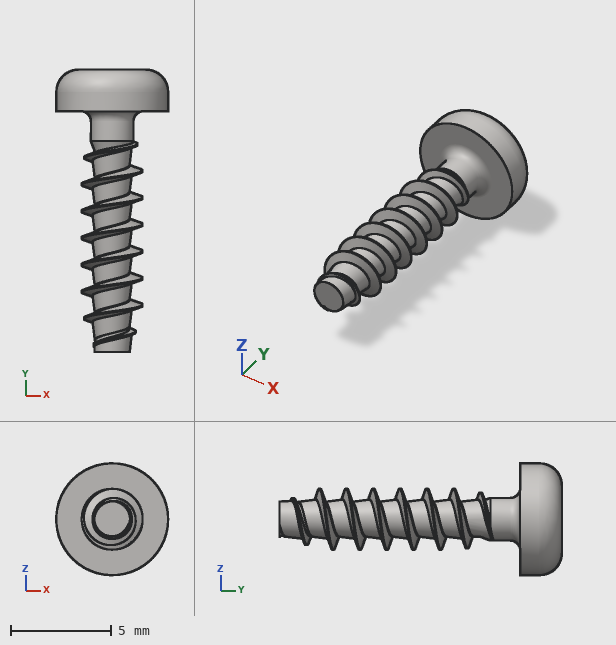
import cadquery as cq
import math

total_length = 14.1
head_diameter = 5.6
head_height = 2.09
dome_radius = 1.13
tip_depth = total_length - head_height

shank_radius = 1.07
shank_depth = 1.5
neck_fillet = 0.5
taper_length = 0.59
core_radius = 0.85

pitch = 1.34
first_crest_depth = 1.64
crest_radius = 1.52
crest_half_width = 0.03
flank_slope = 0.32
tail_radius = 0.99
tail_end_radius = 0.87
least_tooth_height = 0.14
least_tail_drop = 0.01
buried_radius = 0.79
turn_gap = 0.01

start_turn = -0.25
end_turn = 7.75
start_crest = 1.03
early_crest = 1.27
fade_turn = 6.25
fade_per_turn = 0.47
piece_turn = 0.5
steps_per_piece = 12


def make_body():
    """Head, neck fillet, shank and core as one revolved solid."""
    head_radius = head_diameter / 2
    diagonal = math.sqrt(0.5)
    dome_mid = (
        head_radius - dome_radius * (1 - diagonal),
        head_height - dome_radius * (1 - diagonal),
    )
    neck_mid = (
        shank_radius + neck_fillet * (1 - diagonal),
        -neck_fillet * (1 - diagonal),
    )
    return (
        cq.Workplane("XY")
        .moveTo(0, head_height)
        .lineTo(head_radius - dome_radius, head_height)
        .threePointArc(dome_mid, (head_radius, head_height - dome_radius))
        .lineTo(head_radius, 0)
        .lineTo(shank_radius + neck_fillet, 0)
        .threePointArc(neck_mid, (shank_radius, -neck_fillet))
        .lineTo(shank_radius, -shank_depth)
        .lineTo(core_radius, -shank_depth - taper_length)
        .lineTo(core_radius, -tip_depth)
        .lineTo(0, -tip_depth)
        .close()
        .revolve(360, (0, 0, 0), (0, 1, 0))
    )


def crest_at(turn):
    """Crest radius: steep start, slow growth over one turn, constant, then fading out."""
    if turn < 0:
        return early_crest + (early_crest - start_crest) * turn / -start_turn
    growing = early_crest + (crest_radius - early_crest) * turn
    fading = crest_radius - fade_per_turn * (turn - fade_turn)
    return min(growing, crest_radius, fading)


def thread_section(turn):
    """Closed outline of (radius, axial offset towards the tip) for the tooth and its tail."""
    crest = crest_at(turn)
    tail = max(min(tail_radius, crest - least_tooth_height), tail_end_radius + least_tail_drop)
    lead = crest_half_width + flank_slope * (crest - buried_radius)
    trail = crest_half_width + flank_slope * (crest - tail)
    full_lead = crest_half_width + flank_slope * (crest_radius - buried_radius)
    tail_end = pitch - full_lead - turn_gap
    return [
        (buried_radius, -lead),
        (crest, -crest_half_width),
        (crest, crest_half_width),
        (tail, trail),
        (tail_end_radius, tail_end),
        (buried_radius, tail_end),
    ]


def thread_point(turn, corner):
    radius, offset = thread_section(turn)[corner]
    angle = 2 * math.pi * turn
    depth = first_crest_depth + pitch * turn + offset
    return cq.Vector(radius * math.cos(angle), -depth, radius * math.sin(angle))


def make_thread_piece(first_turn, last_turn):
    """Solid stretch of thread: ruled strips between the corner helices, closed by flat ends."""
    corner_count = len(thread_section(first_turn))
    turns = [
        first_turn + (last_turn - first_turn) * i / steps_per_piece
        for i in range(steps_per_piece + 1)
    ]
    helices = [
        cq.Edge.makeSpline([thread_point(turn, corner) for turn in turns], parameters=turns)
        for corner in range(corner_count)
    ]
    faces = [
        cq.Face.makeRuledSurface(helices[i - 1], helices[i])
        for i in range(corner_count)
    ]
    for turn in (first_turn, last_turn):
        corners = [thread_point(turn, corner) for corner in range(corner_count)]
        faces.append(cq.Face.makeFromWires(cq.Wire.makePolygon(corners, close=True)))
    solid = cq.Solid.makeSolid(cq.Shell.makeShell(faces))
    return cq.Workplane(obj=solid.fix())


def make_tip_cutter():
    """Block below the tip plane that trims the last turn flat."""
    return (
        cq.Workplane("XZ", origin=(0, -tip_depth, 0))
        .circle(head_diameter)
        .extrude(2 * pitch)
    )


def make_screw():
    """Join the thread to the body piece by piece, then trim the tip."""
    screw = make_body()
    piece_count = round((end_turn - start_turn) / piece_turn)
    for i in range(piece_count):
        first_turn = start_turn + i * piece_turn
        screw = screw.union(make_thread_piece(first_turn, first_turn + piece_turn))
    return screw.cut(make_tip_cutter())


result = make_screw()